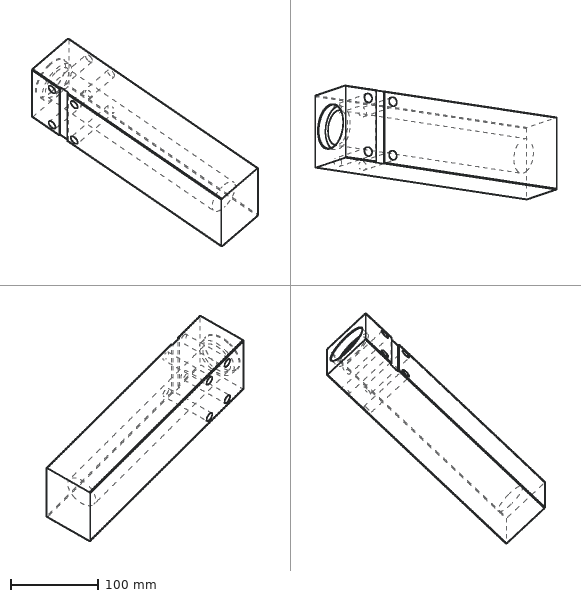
import cadquery as cq

LENGTH = 291.0
WIDTH = 63.0
HEIGHT = 85.0
EDGE_CHAMFER = 1.0

BORE_DIAMETER = 40.0
COUNTERBORE_DIAMETER = 50.5
COUNTERBORE_DEPTH = 10.0
MOUTH_CHAMFER = 0.75
END_WALL = 25.0
BORE_DEPTH = LENGTH - END_WALL

SLOT_CENTER_X = 48.0
SLOT_WIDTH = 12.0
SLOT_DEPTH = 2.0

BOLT_DIAMETER = 10.5
BOLT_SPACING_X = 34.0
BOLT_SPACING_Z = 63.0


def make_block():
    """Block with its -X end at X = 0 and its long edges chamfered."""
    block = cq.Workplane("XY").box(LENGTH, WIDTH, HEIGHT, centered=(False, True, True))
    return block.edges("|X").chamfer(EDGE_CHAMFER)


def make_bore():
    """Revolved stepped bore: chamfered mouth, counterbore and main bore."""
    bore_radius = BORE_DIAMETER / 2
    counterbore_radius = COUNTERBORE_DIAMETER / 2
    half_profile = [
        (0, 0),
        (0, counterbore_radius + MOUTH_CHAMFER),
        (MOUTH_CHAMFER, counterbore_radius),
        (COUNTERBORE_DEPTH, counterbore_radius),
        (COUNTERBORE_DEPTH, bore_radius),
        (BORE_DEPTH, bore_radius),
        (BORE_DEPTH, 0),
    ]
    profile = cq.Workplane("XY").polyline(half_profile).close()
    return profile.revolve(360, (0, 0, 0), (1, 0, 0))


def make_slot():
    """Full-height key slot in the -Y face."""
    slot = cq.Workplane("XY").box(SLOT_WIDTH, SLOT_DEPTH, HEIGHT)
    return slot.translate((SLOT_CENTER_X, (SLOT_DEPTH - WIDTH) / 2, 0))


def make_bolt_holes():
    """Two by two pattern of plain through holes parallel to Y."""
    pattern = cq.Workplane("XZ", origin=(SLOT_CENTER_X, 0, 0))
    pattern = pattern.rect(BOLT_SPACING_X, BOLT_SPACING_Z, forConstruction=True).vertices()
    return pattern.circle(BOLT_DIAMETER / 2).extrude(WIDTH / 2, both=True)


result = make_block()
for cutter in (make_bore(), make_slot(), make_bolt_holes()):
    result = result.cut(cutter)